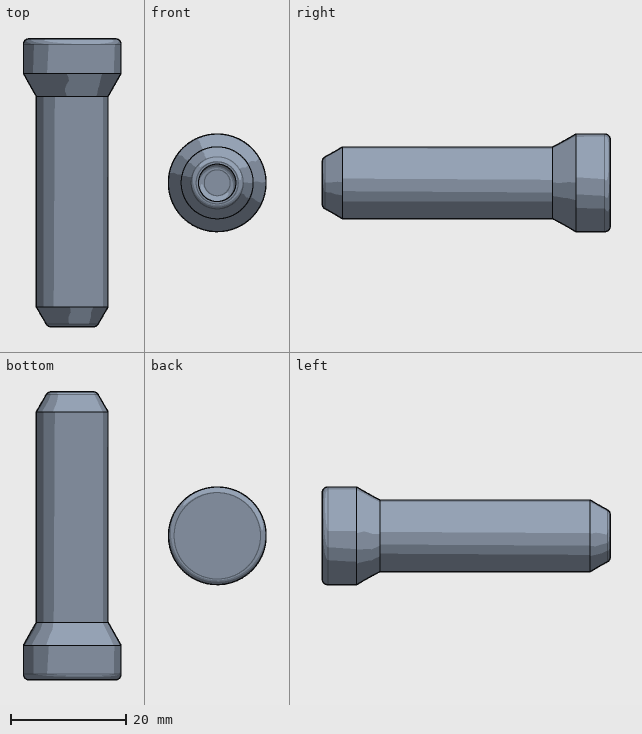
import cadquery as cq
import math

length = 50.0
head_radius = 8.5
shank_radius = 6.25
bore_radius = 3.25

head_height = 6.0
head_cone_length = 4.0
tip_taper_angle = 30.0
tip_taper_length = 3.5
edge_fillet = 1.0
bore_depth = 40.0

tip_y = -length / 2
head_end_y = length / 2
head_start_y = head_end_y - head_height
tip_radius = shank_radius - tip_taper_length * math.tan(math.radians(tip_taper_angle))


def turned_body():
    """Head, shank and tapered tip as one revolved half profile."""
    profile = [
        (0, tip_y),
        (tip_radius, tip_y),
        (shank_radius, tip_y + tip_taper_length),
        (shank_radius, head_start_y - head_cone_length),
        (head_radius, head_start_y),
        (head_radius, head_end_y),
        (0, head_end_y),
    ]
    body = cq.Workplane("XY").polyline(profile).close().revolve(360, (0, 0), (0, 1))
    return body.faces("<Y or >Y").edges().fillet(edge_fillet)


def bore_cutter():
    """Blind bore from the tip, with a rounded floor corner."""
    cutter = (
        cq.Workplane("XZ", origin=(0, tip_y, 0))
        .circle(bore_radius)
        .extrude(-bore_depth)
    )
    return cutter.faces(">Y").edges().fillet(edge_fillet)


result = turned_body().cut(bore_cutter())